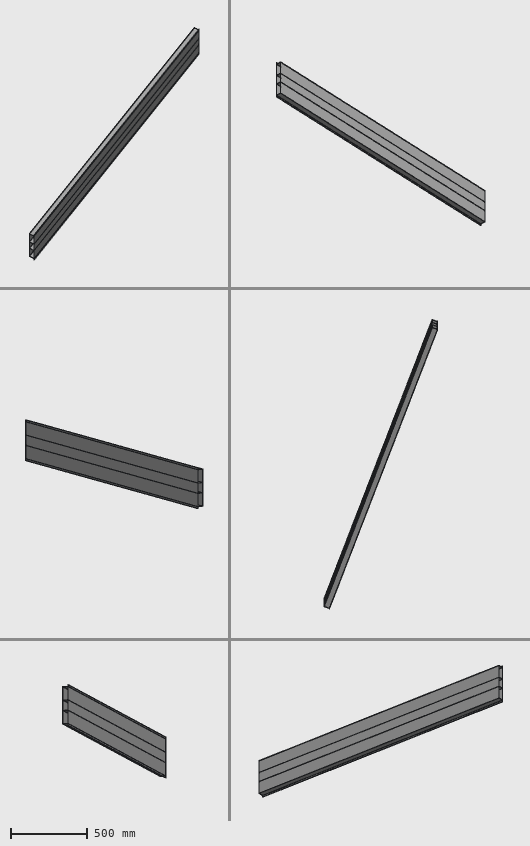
import cadquery as cq

length = 2000
depth = 38.0
height = 272.0

back_thickness = 0.8
front_thickness = 1.0
channel_wall = 1.0
back_overhang = 12.0
channel_height = 90.0

front_x = -depth / 2
back_x = depth / 2 - back_thickness
channel_x = front_x + front_thickness
channel_depth = back_x - channel_x
front_height = height - 2 * back_overhang
channel_z = (front_height - channel_height) / 2


def slab(x_start, x_size, z_center, z_size):
    """Full-length slab, centered on Y and starting at x_start."""
    return (
        cq.Workplane("XY")
        .box(x_size, length, z_size, centered=(False, True, True))
        .translate((x_start, 0, z_center))
    )


def make_back_sheet():
    return slab(back_x, back_thickness, 0, height)


def make_front_sheet():
    return slab(front_x, front_thickness, 0, front_height)


def make_channel(z_center):
    """C-channel between the sheets: its web lies on the front sheet and its flanges meet the back sheet."""
    outer = slab(channel_x, channel_depth, z_center, channel_height)
    cavity = slab(
        channel_x + channel_wall, channel_depth - channel_wall, z_center, channel_height - 2 * channel_wall
    )
    return outer.cut(cavity)


back_sheet = make_back_sheet()
front_sheet = make_front_sheet()
channels = [make_channel(side * channel_z).val() for side in (1, -1)]

result = cq.Compound.makeCompound([back_sheet.val(), front_sheet.val(), *channels])